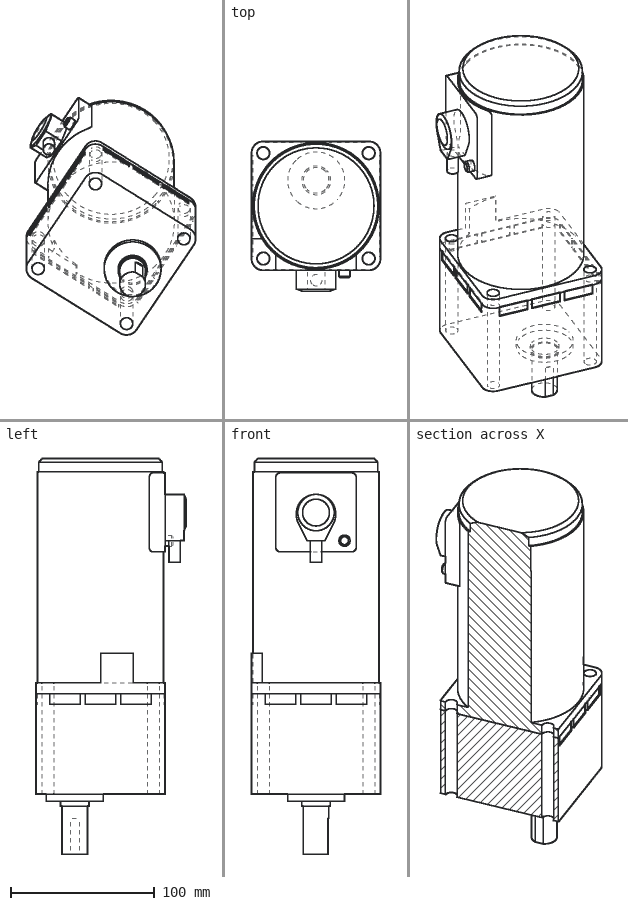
import cadquery as cq
import math

overall_height = 276.0
square_width = 90.0
corner_radius = 8.3
half_width = square_width / 2

hole_diameter = 8.5
hole_spacing = 73.5

gearbox_bottom = 42.0
gearbox_height = 70.0
gearbox_top = gearbox_bottom + gearbox_height

windows_per_side = 3
window_width = 21.3
window_gap = 3.3
window_height = 7.5
window_depth = 0.8

shaft_offset = 18.0
boss_diameter = 39.7
boss_height = 5.0
collar_diameter = 20.1
collar_height = 3.3
shaft_diameter = 18.0
shaft_flat_depth = 0.5
shaft_flat_length = 25.0

flange_thickness = 7.5
flange_top = gearbox_top + flange_thickness
motor_diameter = 88.0
cap_diameter = 86.0
cap_height = 9.5
cap_chamfer = 2.62
cap_bottom = overall_height - cap_height

tab_width = 23.0
tab_height = 20.7

plate_width = 56.0
plate_height = 55.0
plate_corner_radius = 3.0
plate_drop = 0.8
plate_front = -half_width
plate_top = cap_bottom - plate_drop
plate_bottom = plate_top - plate_height

gland_radius = 13.8
gland_depth = 13.2
gland_center_z = 237.0
gland_foot_width = 12.5
gland_foot_drop = 18.5
gland_foot_z = gland_center_z - gland_foot_drop

gland_cap_radius = 12.7
gland_cap_tip_radius = 9.5
gland_cap_height = 1.5

cable_diameter = 8.0
cable_length = 15.2

screw_diameter = 7.7
screw_height = 5.2
screw_chamfer = 1.0
screw_x = 20.0
screw_z = 218.5


def cylinder(diameter, bottom, height, center_y=0):
    """Upright cylinder with its axis in the X = 0 plane."""
    return cq.Workplane("XY", origin=(0, center_y, bottom)).circle(diameter / 2).extrude(height)


def rounded_square(bottom, height):
    """Square block shared by the gearbox and the flange, with its mounting holes."""
    block = cq.Workplane("XY", origin=(0, 0, bottom)).rect(square_width, square_width).extrude(height)
    holes = (
        cq.Workplane("XY", origin=(0, 0, bottom))
        .rect(hole_spacing, hole_spacing, forConstruction=True)
        .vertices()
        .circle(hole_diameter / 2)
        .extrude(height)
    )
    return block.edges("|Z").fillet(corner_radius).cut(holes)


def side_windows():
    """Row of windows in the -Y side, open at the gearbox top."""
    return (
        cq.Workplane("XY", origin=(0, -half_width + window_depth / 2, gearbox_top - window_height / 2))
        .rarray(window_width + window_gap, 2.8, windows_per_side, 1)
        .box(window_width, window_depth, window_height)
    )


def make_output_end():
    """Boss, collar and shaft with a flat on its +X side."""
    boss_bottom = gearbox_bottom - boss_height
    collar_bottom = boss_bottom - collar_height
    boss = cylinder(boss_diameter, boss_bottom, boss_height, shaft_offset)
    collar = cylinder(collar_diameter, collar_bottom, collar_height, shaft_offset)
    shaft = cylinder(shaft_diameter, 0, collar_bottom, shaft_offset)
    flat = cq.Workplane("XY", origin=(shaft_diameter / 2 - shaft_flat_depth, shaft_offset, 0)).box(
        shaft_diameter, shaft_diameter, shaft_flat_length, centered=(False, True, False)
    )
    return boss.union(collar).union(shaft.cut(flat))


def make_gearbox():
    """Gearbox body: housing with windows on all four sides, and the output end."""
    gearbox = rounded_square(gearbox_bottom, gearbox_height)
    for angle in (0, 90, 180, 270):
        gearbox = gearbox.cut(side_windows().rotate((0, 0, 0), (0, 0, 1), angle))
    return gearbox.union(make_output_end())


def make_motor_case():
    """Flange, cylinder and chamfered end cap."""
    case = cylinder(motor_diameter, flange_top, cap_bottom - flange_top)
    cap = cylinder(cap_diameter, cap_bottom, cap_height).faces(">Z").chamfer(cap_chamfer)
    return rounded_square(gearbox_top, flange_thickness).union(case).union(cap)


def make_tab():
    """Tab from the -X side of the flange inward to the motor cylinder."""
    tab = cq.Workplane("XY", origin=(-half_width, -tab_width, flange_top))
    return tab.box(half_width, tab_width, tab_height, centered=False)


def make_terminal_plate():
    """Plate with rounded corners, reaching inward to the motor cylinder."""
    plate = cq.Workplane("XY", origin=(0, plate_front, plate_bottom)).box(
        plate_width, -plate_front, plate_height, centered=(True, False, False)
    )
    return plate.edges("|Y").fillet(plate_corner_radius)


def make_gland():
    """Round gland with sides tapering tangentially to a narrow foot, its cap and its cable."""
    half_foot = gland_foot_width / 2
    foot_distance = math.hypot(half_foot, gland_foot_drop)
    tangent_angle = math.acos(gland_radius / foot_distance) - math.atan2(gland_foot_drop, half_foot)
    tangent_x = gland_radius * math.cos(tangent_angle)
    tangent_z = gland_radius * math.sin(tangent_angle)
    body = (
        cq.Workplane("XZ", origin=(0, plate_front, gland_center_z))
        .moveTo(half_foot, -gland_foot_drop)
        .lineTo(tangent_x, tangent_z)
        .threePointArc((0, gland_radius), (-tangent_x, tangent_z))
        .lineTo(-half_foot, -gland_foot_drop)
        .close()
        .extrude(gland_depth)
    )
    cap_center_z = gland_center_z + gland_radius - gland_cap_radius
    cap = cq.Workplane(
        cq.Solid.makeCone(
            gland_cap_radius,
            gland_cap_tip_radius,
            gland_cap_height,
            pnt=cq.Vector(0, plate_front - gland_depth, cap_center_z),
            dir=cq.Vector(0, -1, 0),
        )
    )
    cable_center_y = plate_front - gland_depth / 2
    cable = cylinder(cable_diameter, gland_foot_z - cable_length, cable_length, cable_center_y)
    return body.union(cap).union(cable)


def make_screw():
    """Ground screw with a chamfered head."""
    screw = cq.Workplane("XZ", origin=(screw_x, plate_front, screw_z)).circle(screw_diameter / 2)
    return screw.extrude(screw_height).faces("<Y").chamfer(screw_chamfer)


def make_motor():
    """Motor body: case, tab, terminal plate, cable gland and ground screw."""
    motor = make_motor_case().union(make_tab()).union(make_terminal_plate())
    return motor.union(make_gland()).union(make_screw())


gearbox = make_gearbox()
motor = make_motor()

result = cq.Compound.makeCompound([gearbox.val(), motor.val()])